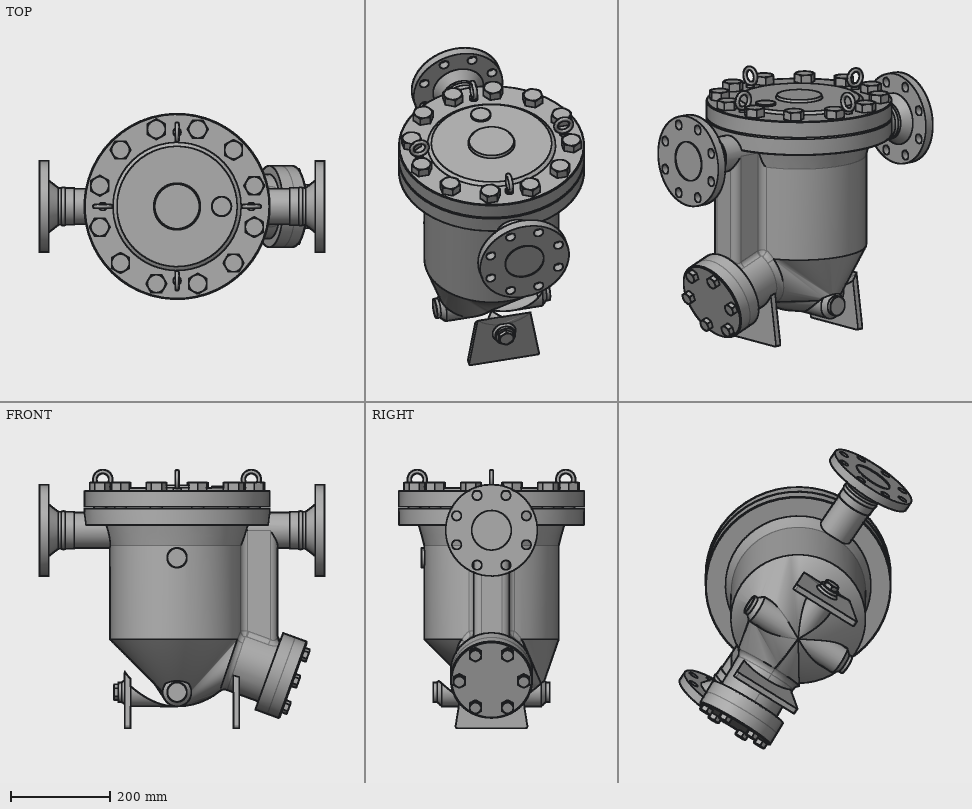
import cadquery as cq
import math


contact_tolerance = 0.001

body_radius = 136.0
neck_radius = 147.0
neck_bottom_z = -30.5
dome_centre_z = -220.0

flange_radius = 375.0 / 2
flange_edge_chamfer = 1.5
lower_flange_bottom_z = 10.0
lower_flange_top_z = 43.6
gasket_radius = 286.0 / 2
cover_bottom_z = 47.2
cover_top_z = 80.0
cover_bolt_count = 12
cover_bolt_circle_radius = 161.5
cover_bolt_across_flats = 36.0
cover_bolt_head_height = 17.0
cover_bolt_shank_diameter = 24.0

crown_base_radius = 129.5
crown_top_radius = 121.5
crown_top_z = 85.5
cover_boss_diameter = 94.5
cover_boss_top_diameter = 90.0
cover_boss_top_z = 91.0

pad_diameter = 40.0
pad_top_diameter = 38.67
pad_edge_chamfer = (pad_diameter - pad_top_diameter) / 2
cover_pad_x = 90.0
cover_pad_top_z = 89.0
front_pad_z = -55.5
front_pad_y = -142.0

eye_circle_radius = 150.0
eye_wire_diameter = 8.0
eye_inner_diameter = 24.0
eye_top_z = 122.47
eye_collar_diameter = 16.0
eye_collar_height = 5.0

inlet_face_x = -278.0
outlet_face_x = 298.0
port_pipe_radius = 36.0
port_flange_radius = 185.0 / 2
port_flange_thickness = 19.0
port_bore_diameter = 80.0
port_bore_depth = 2.0
port_hub_radius = 105.0 / 2
port_spigot_radius = 75.0 / 2
port_hub_end = 38.5
weld_start = 44.5
weld_end = 52.5
weld_height = 1.5
port_spigot_end = 70.0
port_hole_count = 8
port_hole_diameter = 19.0
port_hole_circle_diameter = 152.4

column_half_width = port_pipe_radius
column_end_x = 203.0
column_blend_radius = 15.0
column_bottom_z = -250.0

branch_tilt = 20.0
branch_origin_z = dome_centre_z + 3.0
branch_radius = 65.0
branch_blend_radius = 15.0
branch_flange_radius = 165.0 / 2
branch_flange_start = 198.0
branch_joint = 223.5
branch_cover_end = 250.0
branch_cover_chamfer = 2.0
branch_bolt_count = 6
branch_bolt_circle_radius = 65.0
branch_bolt_across_flats = 23.0
branch_bolt_head_height = 11.0

drain_z = -327.0
drain_radius = 29.0
side_drain_shoulder = 100.0
side_drain_taper_end = 110.0
side_drain_end = 118.0
plug_collar_start = 112.0
plug_collar_end = 118.5
plug_root_diameter = 48.0
plug_across_flats = 28.0
plug_end = 127.7

inlet_leg_x = -100.0
outlet_leg_x = 120.0
leg_thickness = 12.0
leg_bottom_z = -400.0
leg_top_z = -280.0
leg_bottom_half_width = 73.5
leg_top_half_width = 54.0
leg_corner_radius = 4.0


def cylinder_z(radius, z_low, z_high, x=0.0, y=0.0):
    """Upright cylinder between two heights."""
    base = cq.Workplane("XY", origin=(x, y, z_low))
    return base.circle(radius).extrude(z_high - z_low)


def touches(edge, shape):
    """True where the middle of an edge lies on the surface of a shape."""
    middle = cq.Vertex.makeVertex(*edge.positionAt(0.5).toTuple())
    return min(face.distance(middle) for face in shape.faces().vals()) < contact_tolerance


def blend(base, addition, radius):
    """Unite two shapes and fillet the seam along which they meet."""
    joined = base.union(addition)
    seam = [edge for edge in joined.edges().vals() if touches(edge, addition) and touches(edge, base)]
    return joined.newObject(seam).fillet(radius)


def hex_head(across_flats, height):
    """Hexagonal head standing on the XY plane, corners on X, with chamfered top corners."""
    across_corners = across_flats / math.cos(math.pi / 6)
    corner_reach = (across_corners - across_flats) / 2
    prism = cq.Workplane("XY").polygon(6, across_corners).extrude(height)
    envelope = cq.Workplane("XY").circle(across_corners / 2).extrude(height)
    envelope = envelope.faces(">Z").chamfer(corner_reach / 2, corner_reach)
    return prism.intersect(envelope)


def make_vessel():
    """Solid domed vessel with its conical neck."""
    return (
        cq.Workplane("XZ")
        .moveTo(0, lower_flange_bottom_z)
        .lineTo(neck_radius, lower_flange_bottom_z)
        .lineTo(body_radius, neck_bottom_z)
        .lineTo(body_radius, dome_centre_z)
        .radiusArc((0, dome_centre_z - body_radius), body_radius)
        .close()
        .revolve(360, (0, 0, 0), (0, 1, 0))
    )


def make_column():
    """Riser column: flat sides blended into the vessel and rounded outer corners."""
    blend_y = column_half_width + column_blend_radius
    blend_x = math.sqrt((body_radius + column_blend_radius) ** 2 - blend_y ** 2)
    contact = body_radius / (body_radius + column_blend_radius)
    corner_x = column_end_x - column_blend_radius
    corner_y = column_half_width - column_blend_radius
    profile = (
        cq.Workplane("XY")
        .moveTo(0, -blend_y * contact)
        .lineTo(blend_x * contact, -blend_y * contact)
        .radiusArc((blend_x, -column_half_width), column_blend_radius)
        .lineTo(corner_x, -column_half_width)
        .radiusArc((column_end_x, -corner_y), -column_blend_radius)
        .lineTo(column_end_x, corner_y)
        .radiusArc((corner_x, column_half_width), -column_blend_radius)
        .lineTo(blend_x, column_half_width)
        .radiusArc((blend_x * contact, blend_y * contact), column_blend_radius)
        .lineTo(0, blend_y * contact)
        .close()
    )
    return profile.extrude(column_bottom_z)


def along_branch(shape):
    """Turn a shape built on +Z onto the axis of the inclined branch."""
    turned = shape.rotate((0, 0, 0), (0, 1, 0), 90 + branch_tilt)
    return turned.translate((0, 0, branch_origin_z))


def make_branch_pipe():
    return along_branch(cylinder_z(branch_radius, 0, branch_joint))


def make_branch_cover():
    """Bolted flange pair closing the inclined branch."""
    cover = cylinder_z(branch_flange_radius, branch_flange_start, branch_joint)
    cap = cylinder_z(branch_flange_radius, branch_joint, branch_cover_end)
    cover = cover.union(cap.faces(">Z").chamfer(branch_cover_chamfer), clean=False)
    head = hex_head(branch_bolt_across_flats, branch_bolt_head_height)
    for index in range(branch_bolt_count):
        angle = math.radians(index * 360 / branch_bolt_count)
        x = branch_bolt_circle_radius * math.sin(angle)
        y = branch_bolt_circle_radius * math.cos(angle)
        cover = cover.union(head.translate((x, y, branch_cover_end)), clean=False)
    return along_branch(cover)


def make_main_joint():
    """Lower flange, gasket, cover and the bosses on the cover."""
    lower = cylinder_z(flange_radius, lower_flange_bottom_z, lower_flange_top_z)
    joint = lower.faces("<Z").chamfer(flange_edge_chamfer)
    joint = joint.union(cylinder_z(gasket_radius, lower_flange_top_z, cover_bottom_z))
    cover = cylinder_z(flange_radius, cover_bottom_z, cover_top_z)
    joint = joint.union(cover.faces(">Z").chamfer(flange_edge_chamfer))
    crown = (
        cq.Workplane("XZ")
        .moveTo(0, cover_top_z)
        .lineTo(crown_base_radius, cover_top_z)
        .lineTo(crown_top_radius, crown_top_z)
        .lineTo(cover_boss_diameter / 2, crown_top_z)
        .lineTo(cover_boss_top_diameter / 2, cover_boss_top_z)
        .lineTo(0, cover_boss_top_z)
        .close()
        .revolve(360, (0, 0, 0), (0, 1, 0))
    )
    pad = cylinder_z(pad_diameter / 2, cover_top_z, cover_pad_top_z, x=cover_pad_x)
    pad = pad.faces(">Z").chamfer(pad_edge_chamfer)
    return joint.union(crown).union(pad)


def make_cover_bolts():
    """Ring of cover bolts; each head turns with its place on the circle."""
    head = hex_head(cover_bolt_across_flats, cover_bolt_head_height).translate((0, 0, cover_top_z))
    shank = cylinder_z(cover_bolt_shank_diameter / 2, lower_flange_top_z, cover_top_z)
    pitch = 360 / cover_bolt_count
    bolt = head.union(shank).rotate((0, 0, 0), (0, 0, 1), -pitch / 2)
    bolt = bolt.translate((cover_bolt_circle_radius, 0, 0))
    bolts = cq.Workplane("XY")
    for index in range(cover_bolt_count):
        bolts = bolts.add(bolt.rotate((0, 0, 0), (0, 0, 1), (index + 0.5) * pitch))
    return bolts


def make_eyebolts():
    """Four lifting eyes, each ring lying in a plane through the vessel axis."""
    ring_radius = (eye_inner_diameter + eye_wire_diameter) / 2
    ring_centre_z = eye_top_z - ring_radius - eye_wire_diameter / 2
    ring = cq.Workplane("XY").add(
        cq.Solid.makeTorus(
            ring_radius,
            eye_wire_diameter / 2,
            cq.Vector(eye_circle_radius, 0, ring_centre_z),
            cq.Vector(0, 1, 0),
        )
    )
    collar_top_z = cover_top_z + eye_collar_height
    collar = cylinder_z(eye_collar_diameter / 2, cover_top_z, collar_top_z, x=eye_circle_radius)
    eye = collar.union(ring)
    eyes = cq.Workplane("XY")
    for angle in (0, 90, 180, 270):
        eyes = eyes.add(eye.rotate((0, 0, 0), (0, 0, 1), angle))
    return eyes


def make_port(face_x):
    """Weld-neck flange with its pipe running from the flange face to the vessel axis."""
    length = abs(face_x)
    weld_middle = (weld_start + weld_end) / 2
    port = (
        cq.Workplane("XY")
        .moveTo(0, 0)
        .lineTo(0, port_flange_radius)
        .lineTo(port_flange_thickness, port_flange_radius)
        .lineTo(port_flange_thickness, port_hub_radius)
        .lineTo(port_hub_end, port_spigot_radius)
        .lineTo(weld_start, port_spigot_radius)
        .threePointArc((weld_middle, port_spigot_radius + weld_height), (weld_end, port_spigot_radius))
        .lineTo(port_spigot_end, port_spigot_radius)
        .lineTo(port_spigot_end, port_pipe_radius)
        .lineTo(length, port_pipe_radius)
        .lineTo(length, 0)
        .close()
        .revolve(360, (0, 0, 0), (1, 0, 0))
    )
    face = cq.Workplane("YZ")
    first_angle = 180 / port_hole_count
    holes = (
        face.polarArray(port_hole_circle_diameter / 2, first_angle, 360, port_hole_count)
        .circle(port_hole_diameter / 2)
        .extrude(port_flange_thickness)
    )
    port = port.cut(holes).cut(face.circle(port_bore_diameter / 2).extrude(port_bore_depth))
    if face_x > 0:
        port = port.rotate((0, 0, 0), (0, 0, 1), 180)
    return port.translate((face_x, 0, 0))


def make_front_pad():
    """Round pad on the front of the vessel."""
    pad = cq.Workplane("XZ", origin=(0, 0, front_pad_z)).circle(pad_diameter / 2).extrude(-front_pad_y)
    return pad.faces("<Y").chamfer(pad_edge_chamfer)


def make_side_drains():
    """Capped drain boss on each Y side, crossing under the dome."""
    pad_radius = pad_diameter / 2
    half = (
        cq.Workplane("YZ")
        .moveTo(0, 0)
        .lineTo(0, drain_radius)
        .lineTo(side_drain_shoulder, drain_radius)
        .lineTo(side_drain_taper_end, pad_radius)
        .lineTo(side_drain_end - pad_edge_chamfer, pad_radius)
        .lineTo(side_drain_end, pad_radius - pad_edge_chamfer)
        .lineTo(side_drain_end, 0)
        .close()
        .revolve(360, (0, 0, 0), (1, 0, 0))
    )
    return half.union(half.mirror("XZ")).translate((0, 0, drain_z))


def make_plug_drain():
    """Drain boss on the inlet side, passing through the leg to a hexagonal plug."""
    leg_outer = leg_thickness / 2 - inlet_leg_x
    boss = (
        cq.Workplane("XZ")
        .moveTo(0, 0)
        .lineTo(0, drain_radius)
        .lineTo(-inlet_leg_x, drain_radius)
        .lineTo(-inlet_leg_x, plug_root_diameter / 2)
        .lineTo(leg_outer, plug_root_diameter / 2)
        .lineTo(plug_collar_start, pad_diameter / 2)
        .lineTo(plug_collar_end, pad_diameter / 2)
        .lineTo(plug_collar_end, 0)
        .close()
        .revolve(360, (0, 0, 0), (1, 0, 0))
    )
    head = hex_head(plug_across_flats, plug_end - plug_collar_end)
    head = head.rotate((0, 0, 0), (0, 1, 0), 90).translate((plug_collar_end, 0, 0))
    return boss.union(head).mirror("YZ").translate((0, 0, drain_z))


def make_leg(centre_x):
    """Tapered plate leg standing across the X direction."""
    outline = [
        (-leg_bottom_half_width, leg_bottom_z),
        (leg_bottom_half_width, leg_bottom_z),
        (leg_top_half_width, leg_top_z),
        (-leg_top_half_width, leg_top_z),
    ]
    plate = cq.Workplane("YZ", origin=(centre_x - leg_thickness / 2, 0, 0)).polyline(outline).close()
    return plate.extrude(leg_thickness).edges("|X and <Z").fillet(leg_corner_radius)


part = make_vessel().union(make_column())
part = blend(part, make_branch_pipe(), branch_blend_radius)
part = part.union(make_leg(inlet_leg_x)).union(make_leg(outlet_leg_x))
part = part.union(make_side_drains()).union(make_plug_drain())
part = part.union(make_port(inlet_face_x)).union(make_port(outlet_face_x))
part = part.union(make_front_pad())
part = part.union(make_main_joint())
for piece in make_cover_bolts().vals() + make_eyebolts().vals():
    part = part.union(cq.Workplane(piece))
part = part.union(make_branch_cover(), clean=False)

result = part